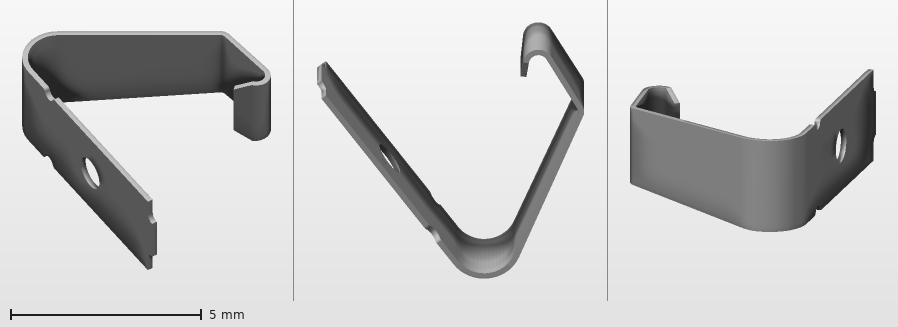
import math

import cadquery as cq

THICKNESS = 0.15
HALF_WIDTH = 1.25

BASE_END_X = 7.0
BASE_BEND_X = 1.0

BASE_BEND_RADIUS = 1.0
TOP_BEND_RADIUS = 0.3
HOOK_RADIUS = 0.4
BASE_HEADING = 180.0
LONG_LEG_HEADING = 60.0
SHORT_LEG_HEADING = 6.0
TIP_HEADING = -136.0

LONG_LEG_LENGTH = 4.23
SHORT_LEG_LENGTH = 1.6
TIP_LENGTH = 0.5

TAPER_ANGLE = 2.5
TAPER_LEAD = 0.336
TAPER_LENGTH = 6.5

TIP_END_HALF_WIDTH = 0.74

HOLE_X = 4.0
HOLE_DIAMETER = 0.9
NOTCH_X = 2.0
NOTCH_RADIUS = 0.2
NOTCH_CORNER_RADIUS = 0.1
TAB_LENGTH = 0.2
TAB_HALF_WIDTH = 0.6
TAB_FILLET = 0.2


def step(point, heading, distance):
    """Point reached by moving a distance along a heading."""
    angle = math.radians(heading)
    return (point[0] + distance * math.cos(angle), point[1] + distance * math.sin(angle))


def make_leg(outer_start, heading, length):
    """Straight piece of strip, its outer face on the left of the heading."""
    outer_end = step(outer_start, heading, length)
    inner_start = step(outer_start, heading - 90, THICKNESS)
    inner_end = step(outer_end, heading - 90, THICKNESS)
    outline = cq.Workplane("XY").polyline([outer_start, outer_end, inner_end, inner_start]).close()
    return outline.extrude(HALF_WIDTH, both=True), outer_end


def make_bend(outer_start, heading, next_heading, radius):
    """Clockwise bend from one heading to the next."""
    center = step(outer_start, heading - 90, radius)
    inner_radius = radius - THICKNESS
    start_angle = heading + 90
    end_angle = next_heading + 90
    middle_angle = (start_angle + end_angle) / 2
    outer_end = step(center, end_angle, radius)
    outline = (
        cq.Workplane("XY")
        .moveTo(*outer_start)
        .threePointArc(step(center, middle_angle, radius), outer_end)
        .lineTo(*step(center, end_angle, inner_radius))
        .threePointArc(step(center, middle_angle, inner_radius), step(center, start_angle, inner_radius))
        .close()
    )
    return outline.extrude(HALF_WIDTH, both=True), outer_end


def leg_plane(outer_start, heading):
    """Plane on a leg's outer face: local X along the heading, local Y along Z, normal inward."""
    along = step((0, 0), heading, 1)
    inward = step((0, 0), heading - 90, 1)
    return cq.Plane(origin=(*outer_start, 0), xDir=(*along, 0), normal=(*inward, 0))


def cut_shoulders(base):
    """Step the end of the base down to a narrower tab, with a concave fillet on each side."""
    shoulder_x = BASE_END_X - TAB_LENGTH
    fillet_center = (shoulder_x + TAB_FILLET, TAB_HALF_WIDTH + TAB_FILLET)
    shoulder = (
        cq.Workplane("XZ")
        .moveTo(shoulder_x, HALF_WIDTH)
        .lineTo(shoulder_x, TAB_HALF_WIDTH + TAB_FILLET)
        .threePointArc(step(fillet_center, 225, TAB_FILLET), (shoulder_x + TAB_FILLET, TAB_HALF_WIDTH))
        .lineTo(BASE_END_X, HALF_WIDTH)
        .close()
        .extrude(-THICKNESS)
    )
    return base.cut(shoulder).cut(shoulder.mirror("XY"))


def cut_notches(base):
    """Half-round notch with rounded corners in each long edge of the base."""
    notches = (
        cq.Workplane("XZ")
        .pushPoints([(NOTCH_X, HALF_WIDTH), (NOTCH_X, -HALF_WIDTH)])
        .circle(NOTCH_RADIUS)
        .extrude(-THICKNESS)
    )
    reach = NOTCH_RADIUS + NOTCH_CORNER_RADIUS
    around_notches = cq.selectors.BoxSelector(
        (NOTCH_X - reach, -THICKNESS, -HALF_WIDTH - reach),
        (NOTCH_X + reach, 2 * THICKNESS, HALF_WIDTH + reach),
    )
    return base.cut(notches).edges("|Y").edges(around_notches).fillet(NOTCH_CORNER_RADIUS)


def make_base():
    """Flat base with its end tab, edge notches and hole."""
    base, bend_start = make_leg((BASE_END_X, 0), BASE_HEADING, BASE_END_X - BASE_BEND_X)
    base = cut_notches(cut_shoulders(base))
    hole = cq.Workplane("XZ").center(HOLE_X, 0).circle(HOLE_DIAMETER / 2).extrude(-THICKNESS)
    return base.cut(hole), bend_start


def tapered_half_width(point, taper_start):
    """Half width left by the taper at a point of the strip."""
    direction = math.radians(LONG_LEG_HEADING)
    offset_x = point[0] - taper_start[0]
    offset_y = point[1] - taper_start[1]
    distance = offset_x * math.cos(direction) + offset_y * math.sin(direction)
    return HALF_WIDTH - distance * math.tan(math.radians(TAPER_ANGLE))


def make_tip(outer_start, root_half_width):
    """Last leg of the hook, a trapezoid narrowing to its end."""
    outline = cq.Workplane(leg_plane(outer_start, TIP_HEADING)).polyline(
        [
            (0, -root_half_width),
            (TIP_LENGTH, -TIP_END_HALF_WIDTH),
            (TIP_LENGTH, TIP_END_HALF_WIDTH),
            (0, root_half_width),
        ]
    )
    return outline.close().extrude(THICKNESS)


def make_taper_cutter(taper_start):
    """Wedge that tapers the +Z edge of the strip along the long leg."""
    drop = TAPER_LENGTH * math.tan(math.radians(TAPER_ANGLE))
    wedge = cq.Workplane(leg_plane(taper_start, LONG_LEG_HEADING)).polyline(
        [
            (0, HALF_WIDTH),
            (TAPER_LENGTH, HALF_WIDTH),
            (TAPER_LENGTH, HALF_WIDTH - drop),
        ]
    )
    return wedge.close().extrude(BASE_END_X, both=True)


base, base_end = make_base()
base_bend, long_start = make_bend(base_end, BASE_HEADING, LONG_LEG_HEADING, BASE_BEND_RADIUS)
long_leg, long_end = make_leg(long_start, LONG_LEG_HEADING, LONG_LEG_LENGTH)
top_bend, short_start = make_bend(long_end, LONG_LEG_HEADING, SHORT_LEG_HEADING, TOP_BEND_RADIUS)
short_leg, short_end = make_leg(short_start, SHORT_LEG_HEADING, SHORT_LEG_LENGTH)
hook, tip_start = make_bend(short_end, SHORT_LEG_HEADING, TIP_HEADING, HOOK_RADIUS)

taper_start = step(long_start, LONG_LEG_HEADING, -TAPER_LEAD)
taper = make_taper_cutter(taper_start)
spring = base_bend.union(long_leg).union(top_bend).union(short_leg).union(hook)
spring = spring.cut(taper).cut(taper.mirror("XY"))
tip = make_tip(tip_start, tapered_half_width(tip_start, taper_start))

result = base.union(spring).union(tip)